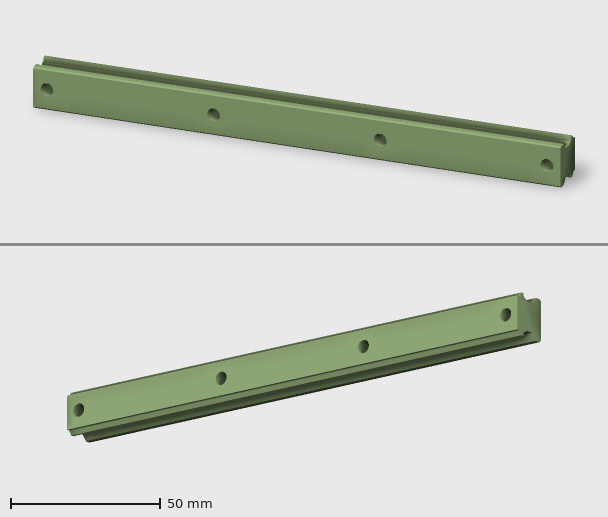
import cadquery as cq

length = 190.0
depth = 13.0
height = 15.0

hole_count = 4
hole_diameter = 4.5
hole_end_distance = 5.0
hole_pitch = (length - 2 * hole_end_distance) / (hole_count - 1)

front_chamfer = 0.5
front_flange_depth = 2.7

groove_depth = 2.3
groove_wall_run = 2.0
groove_floor_width = 3.2
step_start_y = 8.5
step_depth = 1.5
step_end_y = 9.3

ridge_front_y = 9.7
ridge_width = 1.0
shelf_start_y = 11.8
shelf_depth = 1.5


def upper_outline():
    """Return the upper half outline from front to back, with y = 0 and z = 0 at the centre."""
    groove_start_y = front_flange_depth + groove_wall_run
    stations = [
        (0, front_chamfer),
        (front_chamfer, 0),
        (front_flange_depth, 0),
        (groove_start_y, groove_depth),
        (groove_start_y + groove_floor_width, groove_depth),
        (step_start_y, step_depth),
        (step_end_y, step_depth),
        (ridge_front_y, 0),
        (ridge_front_y + ridge_width, 0),
        (shelf_start_y, shelf_depth),
        (depth, shelf_depth),
    ]
    return [(y - depth / 2, height / 2 - drop) for y, drop in stations]


def make_rail():
    """Extrude the profile, which is the same above and below mid-height."""
    upper = upper_outline()
    lower = [(y, -z) for y, z in reversed(upper)]
    return cq.Workplane("YZ").polyline(upper + lower).close().extrude(length / 2, both=True)


def make_holes():
    """Cylinders through the full depth on the mid-height line."""
    return (
        cq.Workplane("XZ")
        .rarray(hole_pitch, 1.9, hole_count, 1)
        .circle(hole_diameter / 2)
        .extrude(depth, both=True)
    )


result = make_rail().cut(make_holes())